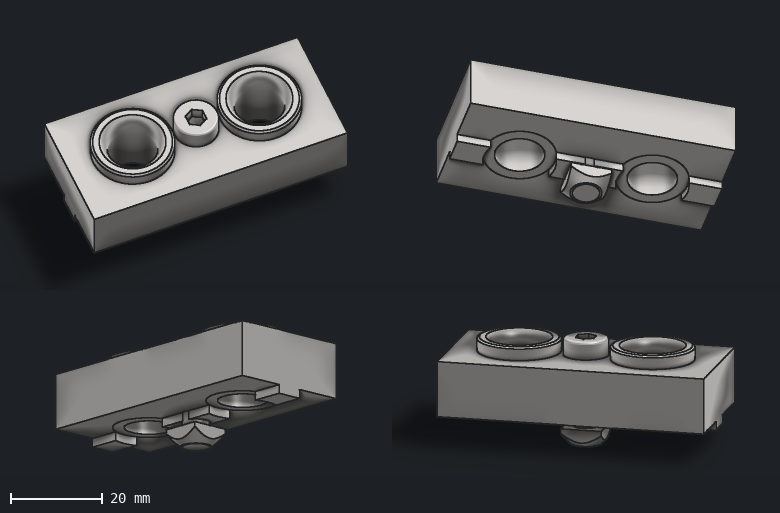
import cadquery as cq
import math

block_width = 28.0
block_length = 60.0
block_height = 12.5
rib_width = 6.1
rib_height = 2.0
screw_clearance_diameter = 6.4

bushing_offset = 15.0
bushing_diameter = 16.0
bushing_head_diameter = 18.5
bushing_head_height = 3.0
bushing_bore = 11.0
mouth_width = 1.8
mouth_depth = 3.0
head_bevel_width = 0.55
head_bevel_height = 0.35

screw_diameter = 6.0
screw_head_diameter = 10.0
screw_head_height = 4.0
screw_head_fillet = 0.65
hex_across_flats = 4.0
hex_depth = 2.5
hex_point_angle = 120.0

nut_width = 9.1
nut_height = 4.0
nut_bottom_z = -7.5
nut_bottom_diameter = 6.95
nut_bevel_angle = 45.0

bushing_places = [(0, -bushing_offset), (0, bushing_offset)]


def make_block():
    plate = cq.Workplane("XY").box(block_width, block_length, block_height, centered=(True, True, False))
    rib = (
        cq.Workplane("XY")
        .workplane(offset=-rib_height)
        .box(rib_width, block_length, rib_height, centered=(True, True, False))
    )
    body = plate.union(rib)
    hole_plane = cq.Workplane("XY").workplane(offset=-rib_height)
    hole_length = block_height + rib_height
    bushing_holes = hole_plane.pushPoints(bushing_places).circle(bushing_diameter / 2).extrude(hole_length)
    screw_hole = hole_plane.circle(screw_clearance_diameter / 2).extrude(hole_length)
    return body.cut(bushing_holes).cut(screw_hole)


def make_bushing(x, y):
    bore_radius = bushing_bore / 2
    body_radius = bushing_diameter / 2
    head_radius = bushing_head_diameter / 2
    top = block_height + bushing_head_height
    flare_radius = (mouth_width**2 + mouth_depth**2) / (2 * mouth_width)
    half_angle = math.asin(mouth_depth / flare_radius) / 2
    flare_middle = (
        bore_radius + flare_radius * (1 - math.cos(half_angle)),
        top - mouth_depth + flare_radius * math.sin(half_angle),
    )
    half_section = (
        cq.Workplane("XZ")
        .moveTo(bore_radius, 0)
        .lineTo(body_radius, 0)
        .lineTo(body_radius, block_height)
        .lineTo(head_radius, block_height)
        .lineTo(head_radius, top - head_bevel_height)
        .lineTo(head_radius - head_bevel_width, top)
        .lineTo(bore_radius + mouth_width, top)
        .threePointArc(flare_middle, (bore_radius, top - mouth_depth))
        .close()
    )
    return half_section.revolve(360, (0, 0, 0), (0, 1, 0)).translate((x, y, 0))


def make_screw():
    head_top = block_height + screw_head_height
    head = (
        cq.Workplane("XY")
        .workplane(offset=block_height)
        .circle(screw_head_diameter / 2)
        .extrude(screw_head_height)
        .faces(">Z")
        .edges()
        .fillet(screw_head_fillet)
    )
    shank = (
        cq.Workplane("XY")
        .workplane(offset=nut_bottom_z)
        .circle(screw_diameter / 2)
        .extrude(block_height - nut_bottom_z)
    )
    return head.union(shank).cut(make_hex_socket(head_top))


def make_hex_socket(head_top):
    """Hexagonal recess ending in a drill point."""
    across_corners = hex_across_flats / math.cos(math.radians(30))
    point_depth = across_corners / 2 / math.tan(math.radians(hex_point_angle / 2))
    socket_depth = hex_depth + point_depth
    prism = (
        cq.Workplane("XY")
        .workplane(offset=head_top - socket_depth)
        .polygon(6, across_corners)
        .extrude(socket_depth)
    )
    drill = (
        cq.Workplane("XZ")
        .moveTo(0, head_top - socket_depth)
        .lineTo(across_corners / 2, head_top - hex_depth)
        .lineTo(across_corners / 2, head_top)
        .lineTo(0, head_top)
        .close()
        .revolve(360, (0, 0, 0), (0, 1, 0))
    )
    return prism.intersect(drill)


def make_nut():
    square = (
        cq.Workplane("XY")
        .workplane(offset=nut_bottom_z)
        .box(nut_width, nut_width, nut_height, centered=(True, True, False))
    )
    bottom_radius = nut_bottom_diameter / 2
    top_radius = bottom_radius + nut_height * math.tan(math.radians(nut_bevel_angle))
    cone = cq.Workplane(
        cq.Solid.makeCone(bottom_radius, top_radius, nut_height, cq.Vector(0, 0, nut_bottom_z))
    )
    hole = (
        cq.Workplane("XY")
        .workplane(offset=nut_bottom_z)
        .circle(screw_diameter / 2)
        .extrude(nut_height)
    )
    return square.intersect(cone).cut(hole)


block = make_block()
bushings = [make_bushing(x, y) for x, y in bushing_places]
screw = make_screw()
nut = make_nut()

result = cq.Compound.makeCompound(
    [block.val(), *[bushing.val() for bushing in bushings], screw.val(), nut.val()]
)